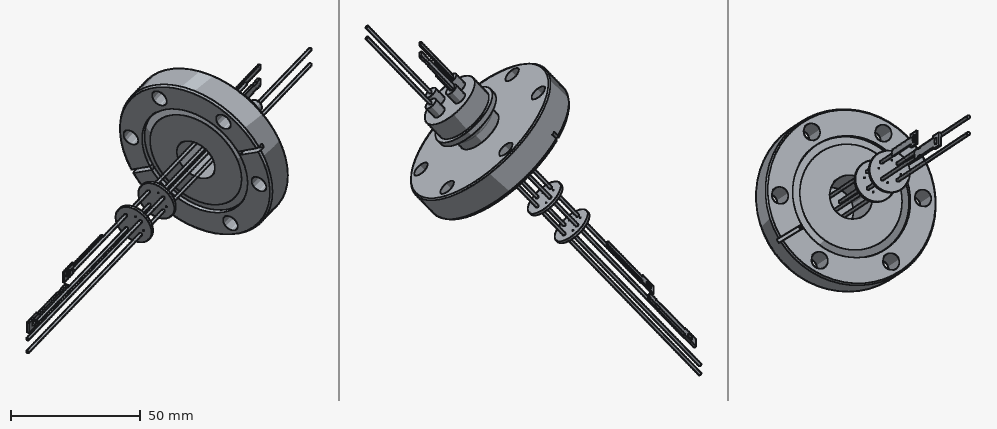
import cadquery as cq
import math


FLANGE_DIA = 69.85
FLANGE_THICK = 12.7
FRONT_CHAMFER_AXIAL = 1.0
FRONT_CHAMFER_RADIAL = 0.6
REAR_CHAMFER = 0.6
RECESS_DIA = 48.3
RECESS_DEPTH = 1.8
KNIFE_DIA = 41.9
KNIFE_DEPTH = 0.7
BOLT_COUNT = 6
BOLT_CIRCLE_DIA = 58.7
BOLT_HOLE_DIA = 6.7
BOLT_START_ANGLE = 3.6
SLOT_ANGLE = BOLT_START_ANGLE + 180 / BOLT_COUNT
SLOT_WIDTH = 1.6
SLOT_DEPTH = 3.3

BORE_DIA = 17.4
NECK_DIA = 19.05
NECK_STRAIGHT_END = 16.8
NECK_FLARE_DIA = 23.4
COLLAR_DIA = 28.5
COLLAR_START = 20.0
COLLAR_END = 22.3
HEADER_DIA = 25.0
HEADER_END = 30.9

ROD_DIA = 1.3
AIR_ROD_X = 5.1
AIR_ROD_Z = 3.95
TUBE_DIA = 5.2
TUBE_END = 36.3
POWER_ROD_AIR_END = 75.2
TOTAL_LENGTH = 200.85
POWER_ROD_VACUUM_END = POWER_ROD_AIR_END - TOTAL_LENGTH
VACUUM_ROD_OFFSET = 3.3
STUB_AIR_END = 44.8

SPACER_DIA = 16.5
SPACER_THICK = 1.2
SPACER_CENTRES_Y = (-27.2, -43.6)
PINHOLE_COUNT = 4
PINHOLE_DIA = 0.4
PINHOLE_RADIUS = 4.6
PINHOLE_ANGLE = 79.0

NARROW_BLADE_WIDTH = 2.7
WIDE_BLADE_WIDTH = 3.7
BLADE_TIP_CHAMFER = 0.6
NOTCH_LENGTH = 2.4
NOTCH_DEPTH = 0.4
AIR_BLADE_END = 56.4
AIR_NOTCH_FROM_TIP = 2.7
VACUUM_BLADE_LENGTH = 28.2
VACUUM_BLADE_OUTER_X = -4.6
VACUUM_NOTCH_FROM_TIP = 4.0
HEAD_LENGTH = 6.8
HEAD_WIDTH = 5.2
UPPER_BLADE_THICK = 0.6
UPPER_HOLE_DIA = 3.0
UPPER_HOLE_FROM_END = 3.0
UPPER_BLADE_TIP = -59.6
UPPER_STUB_END = -82.2
LOWER_BLADE_THICK = 1.0
LOWER_HOLE_DIA = 2.6
LOWER_HOLE_FROM_END = 3.7
LOWER_BLADE_TIP = -85.4
LOWER_STUB_END = -108.8

OVERLAP = 0.1


def rod(x, z, y_start, y_end, diameter):
    """Round bar parallel to Y between two Y positions."""
    start = cq.Vector(x, min(y_start, y_end), z)
    length = abs(y_end - y_start)
    return cq.Workplane(cq.Solid.makeCylinder(diameter / 2, length, start, cq.Vector(0, 1, 0)))


def make_body():
    """Flange, neck, collar and header as one turned profile about Y."""
    flange_r = FLANGE_DIA / 2
    neck_r = NECK_DIA / 2
    bore_r = BORE_DIA / 2
    profile = (
        cq.Workplane("XY")
        .moveTo(bore_r, KNIFE_DEPTH)
        .lineTo(KNIFE_DIA / 2, KNIFE_DEPTH)
        .lineTo(RECESS_DIA / 2, RECESS_DEPTH)
        .lineTo(RECESS_DIA / 2, 0)
        .lineTo(flange_r - FRONT_CHAMFER_RADIAL, 0)
        .lineTo(flange_r, FRONT_CHAMFER_AXIAL)
        .lineTo(flange_r, FLANGE_THICK - REAR_CHAMFER)
        .lineTo(flange_r - REAR_CHAMFER, FLANGE_THICK)
        .lineTo(neck_r, FLANGE_THICK)
        .lineTo(neck_r, NECK_STRAIGHT_END)
        .tangentArcPoint((NECK_FLARE_DIA / 2, COLLAR_START), relative=False)
        .lineTo(COLLAR_DIA / 2, COLLAR_START)
        .lineTo(COLLAR_DIA / 2, COLLAR_END)
        .lineTo(HEADER_DIA / 2, COLLAR_END)
        .lineTo(HEADER_DIA / 2, HEADER_END)
        .lineTo(0, HEADER_END)
        .lineTo(0, COLLAR_END)
        .lineTo(bore_r, COLLAR_END)
        .close()
    )
    return profile.revolve(360, (0, 0, 0), (0, 1, 0))


def cut_bolt_holes(body):
    for index in range(BOLT_COUNT):
        angle = math.radians(BOLT_START_ANGLE + index * 360 / BOLT_COUNT)
        x = BOLT_CIRCLE_DIA / 2 * math.cos(angle)
        z = BOLT_CIRCLE_DIA / 2 * math.sin(angle)
        body = body.cut(rod(x, z, 0, FLANGE_THICK, BOLT_HOLE_DIA))
    return body


def cut_leak_check_slots(body):
    """Two opposite radial slots in the sealing face, from the recess to the rim."""
    slot_length = (FLANGE_DIA - RECESS_DIA) / 2 + OVERLAP
    slot_centre = RECESS_DIA / 2 + slot_length / 2
    for side in (-1, 1):
        slot = (
            cq.Workplane("XY")
            .box(slot_length, SLOT_DEPTH, SLOT_WIDTH)
            .translate((side * slot_centre, SLOT_DEPTH / 2, 0))
            .rotate((0, 0, 0), (0, 1, 0), -SLOT_ANGLE)
        )
        body = body.cut(slot)
    return body


def make_spacer(centre_y):
    """Thin insulating disc carrying all four vacuum rods, with a ring of pinholes."""
    y_start = centre_y - SPACER_THICK / 2
    y_end = centre_y + SPACER_THICK / 2
    spacer = rod(0, 0, y_start, y_end, SPACER_DIA)
    for index in range(PINHOLE_COUNT):
        angle = math.radians(PINHOLE_ANGLE + index * 360 / PINHOLE_COUNT)
        x = PINHOLE_RADIUS * math.cos(angle)
        z = PINHOLE_RADIUS * math.sin(angle)
        spacer = spacer.cut(rod(x, z, y_start, y_end, PINHOLE_DIA))
    return spacer


def make_blade(length, width, thickness, notch_from_tip=None):
    """Flat blade along -Y with its bevelled tip at the origin and its outer face at X = 0."""
    blade = (
        cq.Workplane("XY")
        .box(thickness, length, width, centered=(False, False, True))
        .translate((0, -length, 0))
        .edges("|X and >Y")
        .chamfer(BLADE_TIP_CHAMFER)
    )
    if notch_from_tip is not None:
        notch_y = -notch_from_tip - NOTCH_LENGTH / 2
        for side in (-1, 1):
            notch = (
                cq.Workplane("XY")
                .box(thickness, NOTCH_LENGTH, 2 * NOTCH_DEPTH, centered=(False, True, True))
                .translate((0, notch_y, side * width / 2))
            )
            blade = blade.cut(notch)
    return blade


def make_vacuum_blade(width, thickness, hole_dia, hole_from_end, notch_from_tip=None):
    """Blade that ends in a wider head with a round hole."""
    blade = make_blade(VACUUM_BLADE_LENGTH, width, thickness, notch_from_tip)
    head = (
        cq.Workplane("XY")
        .box(thickness, HEAD_LENGTH, HEAD_WIDTH, centered=(False, False, True))
        .translate((0, -VACUUM_BLADE_LENGTH, 0))
    )
    hole = (
        cq.Workplane("YZ")
        .center(-VACUUM_BLADE_LENGTH + hole_from_end, 0)
        .circle(hole_dia / 2)
        .extrude(thickness)
    )
    return blade.union(head).cut(hole)


def add_power_rods(part):
    """Two long rods on the +X side; they step inward inside the header."""
    for side in (-1, 1):
        part = part.union(rod(AIR_ROD_X, side * AIR_ROD_Z, HEADER_END - OVERLAP, TUBE_END, TUBE_DIA))
        part = part.union(rod(AIR_ROD_X, side * AIR_ROD_Z, HEADER_END, POWER_ROD_AIR_END, ROD_DIA))
        z = side * VACUUM_ROD_OFFSET
        part = part.union(rod(VACUUM_ROD_OFFSET, z, HEADER_END - OVERLAP, POWER_ROD_VACUUM_END, ROD_DIA))
    return part


def add_thermocouple(part, side, width, air_notch, stub_end, vacuum_blade, blade_thick, tip_y):
    """One thermocouple line on the -X side: tube, rods and a blade at each end."""
    air_z = side * AIR_ROD_Z
    part = part.union(rod(-AIR_ROD_X, air_z, HEADER_END - OVERLAP, TUBE_END, TUBE_DIA))
    part = part.union(rod(-AIR_ROD_X, air_z, HEADER_END, STUB_AIR_END, ROD_DIA))
    air_blade_x = -AIR_ROD_X - ROD_DIA / 2 - blade_thick + OVERLAP
    air_blade = make_blade(AIR_BLADE_END - TUBE_END, width, blade_thick, air_notch)
    part = part.union(air_blade.translate((air_blade_x, AIR_BLADE_END, air_z)))

    vacuum_z = side * VACUUM_ROD_OFFSET
    rod_x = VACUUM_BLADE_OUTER_X + blade_thick + ROD_DIA / 2 - OVERLAP
    part = part.union(rod(rod_x, vacuum_z, HEADER_END - OVERLAP, stub_end, ROD_DIA))
    return part.union(vacuum_blade.translate((VACUUM_BLADE_OUTER_X, tip_y, vacuum_z)))


result = cut_leak_check_slots(cut_bolt_holes(make_body()))
result = add_power_rods(result)

upper_vacuum_blade = make_vacuum_blade(
    NARROW_BLADE_WIDTH, UPPER_BLADE_THICK, UPPER_HOLE_DIA, UPPER_HOLE_FROM_END
)
result = add_thermocouple(
    result,
    side=1,
    width=NARROW_BLADE_WIDTH,
    air_notch=None,
    stub_end=UPPER_STUB_END,
    vacuum_blade=upper_vacuum_blade,
    blade_thick=UPPER_BLADE_THICK,
    tip_y=UPPER_BLADE_TIP,
)

lower_vacuum_blade = make_vacuum_blade(
    WIDE_BLADE_WIDTH, LOWER_BLADE_THICK, LOWER_HOLE_DIA, LOWER_HOLE_FROM_END, VACUUM_NOTCH_FROM_TIP
)
result = add_thermocouple(
    result,
    side=-1,
    width=WIDE_BLADE_WIDTH,
    air_notch=AIR_NOTCH_FROM_TIP,
    stub_end=LOWER_STUB_END,
    vacuum_blade=lower_vacuum_blade,
    blade_thick=LOWER_BLADE_THICK,
    tip_y=LOWER_BLADE_TIP,
)

for spacer_y in SPACER_CENTRES_Y:
    result = result.union(make_spacer(spacer_y))